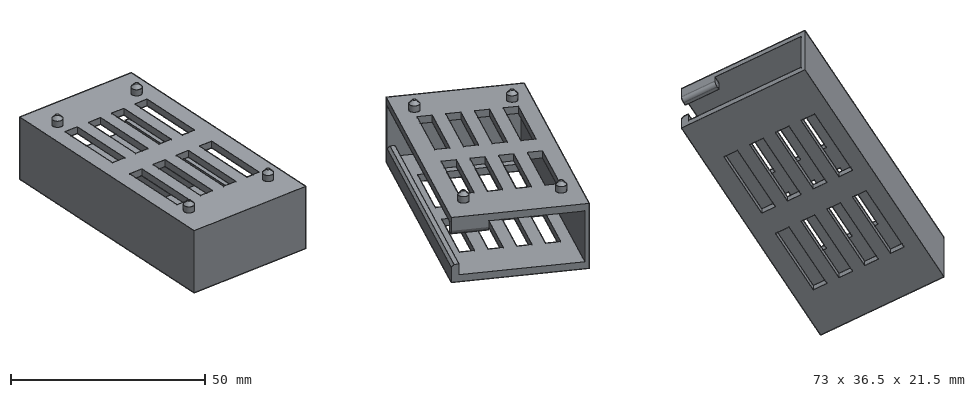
import cadquery as cq

length = 73.0
width = 36.5
height = 18.6
floor_thickness = 2.05
roof_thickness = 2.05
side_wall = 1.2
end_wall = 1.2
cavity_length = length - end_wall

lip_thickness = 2.05
lip_height = 5.1
lip_chamfer = 0.7

bar_width = 9.9
bar_bottom_drop = 5.1
bar_thickness = 2.05
bar_radius = 1.2

slot_length = 19.85
slot_width = 4.0
slot_pitch_x = 27.0
slot_pitch_y = 7.6
slot_columns = 2
slot_rows = 4
roof_slot_center_y = -0.2
floor_slot_center_y = -0.4

pin_radius = 1.45
pin_tip_radius = 0.45
pin_straight_height = 1.8
pin_height = 2.9
pin_pitch_x = 55.0
pin_pitch_y = 25.85

left_end = -length / 2
open_side = width / 2


def make_housing():
    """Box open at the left end and along the +Y side above the lip."""
    body = cq.Workplane("XY").box(length, width, height, centered=(True, True, False))
    inner_side = -open_side + side_wall
    ceiling = height - roof_thickness
    cavity = (
        cq.Workplane("YZ", origin=(left_end, 0, 0))
        .moveTo(inner_side, floor_thickness)
        .lineTo(open_side - lip_thickness, floor_thickness)
        .lineTo(open_side - lip_thickness, lip_height)
        .lineTo(open_side - lip_chamfer, lip_height)
        .lineTo(open_side, lip_height - lip_chamfer)
        .lineTo(open_side, ceiling)
        .lineTo(inner_side, ceiling)
        .close()
        .extrude(cavity_length)
    )
    return body.cut(cavity)


def make_bar():
    """Bar along Y, hanging from the roof, with its lower outer edge rounded."""
    bar_bottom = height - bar_bottom_drop
    return (
        cq.Workplane("XY")
        .box(bar_thickness, bar_width, bar_bottom_drop, centered=False)
        .edges("<X and <Z")
        .fillet(bar_radius)
        .translate((left_end, open_side - bar_width, bar_bottom))
    )


def make_slots(center_y, bottom, depth):
    """Grid of vertical slots through one of the two plates."""
    return (
        cq.Workplane("XY", origin=(0, center_y, bottom))
        .rarray(slot_pitch_x, slot_pitch_y, slot_columns, slot_rows)
        .rect(slot_length, slot_width)
        .extrude(depth)
    )


def make_pin():
    """Straight pin with a conical tip, standing on the roof."""
    return (
        cq.Workplane("XZ")
        .moveTo(0, -roof_thickness / 2)
        .lineTo(pin_radius, -roof_thickness / 2)
        .lineTo(pin_radius, pin_straight_height)
        .lineTo(pin_tip_radius, pin_height)
        .lineTo(0, pin_height)
        .close()
        .revolve(360, (0, 0, 0), (0, 1, 0))
    )


result = make_housing().union(make_bar())
result = result.cut(make_slots(roof_slot_center_y, height - roof_thickness, roof_thickness))
result = result.cut(make_slots(floor_slot_center_y, 0, floor_thickness))
for side_x in (-1, 1):
    for side_y in (-1, 1):
        pin_x = side_x * pin_pitch_x / 2
        pin_y = side_y * pin_pitch_y / 2
        result = result.union(make_pin().translate((pin_x, pin_y, height)))